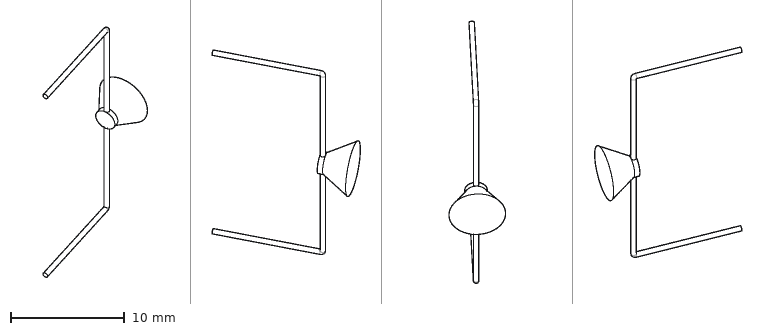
import cadquery as cq
import math

overall_height = 22.5
overall_depth = 12.75
wire_diameter = 0.5
bend_radius = 0.2
hub_diameter = 2.0
cone_diameter = 5.0
cone_length = 2.5

wire_radius = wire_diameter / 2
hub_thickness = wire_diameter
hub_radius = hub_diameter / 2
cone_radius = cone_diameter / 2
hub_front = -hub_thickness / 2
hub_back = hub_thickness / 2
arm_height = overall_height / 2 - wire_radius
arm_tip = hub_back + cone_length - overall_depth
bend_start_height = arm_height - bend_radius


def make_holder():
    """Round hub flaring into a cone, turned about the Y axis."""
    return (
        cq.Workplane("XY")
        .moveTo(0, hub_front)
        .lineTo(hub_radius, hub_front)
        .lineTo(hub_radius, hub_back)
        .lineTo(cone_radius, hub_back + cone_length)
        .lineTo(0, hub_back + cone_length)
        .close()
        .revolve(360, (0, 0, 0), (0, 1, 0))
    )


def make_elbow():
    """Quarter turn of the wire section, keeping only the part outside the bend axis."""
    half_chord = math.sqrt(wire_radius**2 - bend_radius**2)
    return (
        cq.Workplane("XY", origin=(0, -bend_radius, bend_start_height))
        .moveTo(-half_chord, 0)
        .threePointArc((0, bend_radius + wire_radius), (half_chord, 0))
        .close()
        .revolve(90, (0, 0, 0), (1, 0, 0))
    )


def make_upper_wire(holder):
    """Upright wire standing on the hub rim, bent over into an arm toward -Y."""
    upright = cq.Workplane("XY").circle(wire_radius).extrude(bend_start_height)
    arm = (
        cq.Workplane("XZ", origin=(0, -bend_radius, arm_height))
        .circle(wire_radius)
        .extrude(-bend_radius - arm_tip)
    )
    return upright.union(make_elbow()).union(arm).cut(holder)


holder = make_holder()
upper_wire = make_upper_wire(holder)
wires = [upper_wire.rotate((0, 0, 0), (0, 1, 0), angle) for angle in (0, 180)]

result = cq.Compound.makeCompound([holder.val(), *[wire.solids().val() for wire in wires]])